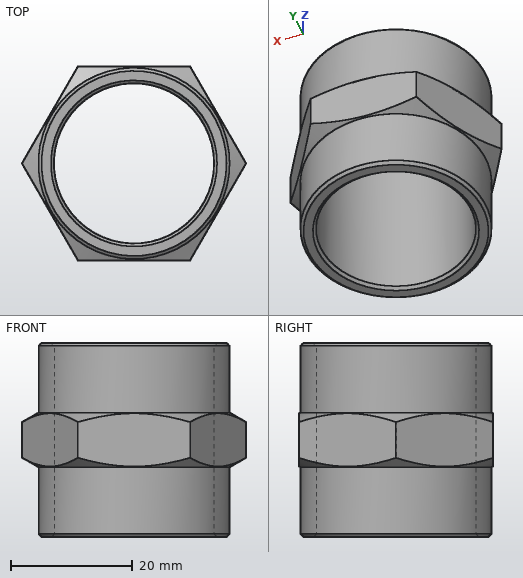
import cadquery as cq
import math

across_corners = 36.95
body_diameter = 31.5
bore_diameter = 26.35
hex_height = 9.0
edge_chamfer = 0.5
hex_chamfer_angle = 30.0

across_flats = across_corners * math.cos(math.radians(30))
body_length = across_flats

corner_radius = across_corners / 2
body_radius = body_diameter / 2
corner_drop = (corner_radius - body_radius) * math.tan(math.radians(hex_chamfer_angle))


def make_cylinder(diameter):
    """Full-length cylinder centred on the origin."""
    return cq.Workplane("XY").circle(diameter / 2).extrude(body_length / 2, both=True)


def make_hex_collar():
    """Central wrench hexagon with corners trimmed by cones starting at the body surface."""
    half_height = hex_height / 2
    hexagon = (
        cq.Workplane("XY")
        .polygon(6, across_corners)
        .extrude(half_height, both=True)
    )
    corner_trim = (
        cq.Workplane("XZ")
        .moveTo(0, -half_height)
        .lineTo(body_radius, -half_height)
        .lineTo(corner_radius, -half_height + corner_drop)
        .lineTo(corner_radius, half_height - corner_drop)
        .lineTo(body_radius, half_height)
        .lineTo(0, half_height)
        .close()
        .revolve(360, (0, 0, 0), (0, 1, 0))
    )
    return hexagon.intersect(corner_trim)


def chamfer_rims(part):
    """Chamfer the inner and outer edges of both end faces."""
    return part.faces("<Z or >Z").edges().chamfer(edge_chamfer)


fitting = make_cylinder(body_diameter).union(make_hex_collar()).cut(make_cylinder(bore_diameter))
result = chamfer_rims(fitting)